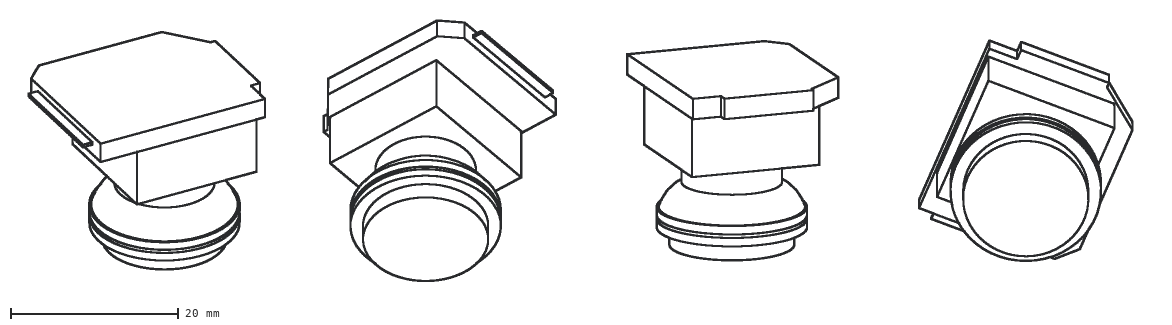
import cadquery as cq


plate_width = 19.84
plate_left = -11.42
plate_right = plate_left + plate_width
plate_back = 10.4
plate_front = -13.22
plate_thickness = 2.55
front_chamfer = 2.31
back_bevel_width = 4.9
back_bevel_start = 4.6
back_bevel_end = 0.62
notch_width = 3.58
notch_depth = 1.27

tongue_width = 13.75
tongue_left = plate_left + 4.0
tongue_length = 24.9 - (plate_back - plate_front)
tongue_top = -0.87
tongue_thickness = 0.35

block_side = 16.28
block_height = 7.42

neck_radius = 6.02
neck_height = 3.35
collar_radius = 9.0
bulb_radius = collar_radius - 0.02
upper_collar_drop = 3.09
collar_height = 1.05
collar_gap = 0.42
base_radius = 7.5
base_height = 2.15

block_bottom = -plate_thickness - block_height
neck_bottom = block_bottom - neck_height
upper_collar_top = neck_bottom - upper_collar_drop
upper_collar_bottom = upper_collar_top - collar_height
lower_collar_top = upper_collar_bottom - collar_gap
lower_collar_bottom = lower_collar_top - collar_height
base_bottom = lower_collar_bottom - base_height

bulb_bulge = bulb_radius - neck_radius
bulb_height = neck_bottom - lower_collar_top
bulb_arc_radius = (bulb_bulge**2 + bulb_height**2) / (2 * bulb_bulge)


def cylinder(radius, bottom, top):
    return cq.Workplane("XY").workplane(offset=bottom).circle(radius).extrude(top - bottom)


def make_plate():
    outline = [
        (plate_left, plate_front + front_chamfer),
        (plate_left, plate_back - back_bevel_start),
        (plate_left + back_bevel_width, plate_back - back_bevel_end),
        (plate_left + back_bevel_width, plate_back),
        (plate_right - notch_width, plate_back),
        (plate_right - notch_width, plate_back - notch_depth),
        (plate_right, plate_back - notch_depth),
        (plate_right, plate_front),
        (plate_left + front_chamfer, plate_front),
    ]
    return cq.Workplane("XY").polyline(outline).close().extrude(-plate_thickness)


def make_tongue():
    corner = (tongue_left, plate_front - tongue_length, tongue_top - tongue_thickness)
    tongue = cq.Workplane("XY").box(tongue_width, tongue_length, tongue_thickness, centered=False)
    return tongue.translate(corner)


def make_block():
    base = cq.Workplane("XY").workplane(offset=-plate_thickness)
    return base.rect(block_side, block_side).extrude(-block_height)


def make_bulb():
    """Revolved arc bulging from the neck out to the top of the lower collar."""
    profile = (
        cq.Workplane("XZ")
        .moveTo(0, neck_bottom)
        .lineTo(neck_radius, neck_bottom)
        .radiusArc((bulb_radius, lower_collar_top), bulb_arc_radius)
        .lineTo(0, lower_collar_top)
        .close()
    )
    return profile.revolve(360, (0, 0, 0), (0, 1, 0))


result = (
    make_plate()
    .union(make_tongue())
    .union(make_block())
    .union(cylinder(neck_radius, neck_bottom, block_bottom))
    .union(make_bulb())
    .union(cylinder(collar_radius, upper_collar_bottom, upper_collar_top))
    .union(cylinder(collar_radius, lower_collar_bottom, lower_collar_top))
    .union(cylinder(base_radius, base_bottom, lower_collar_bottom))
)